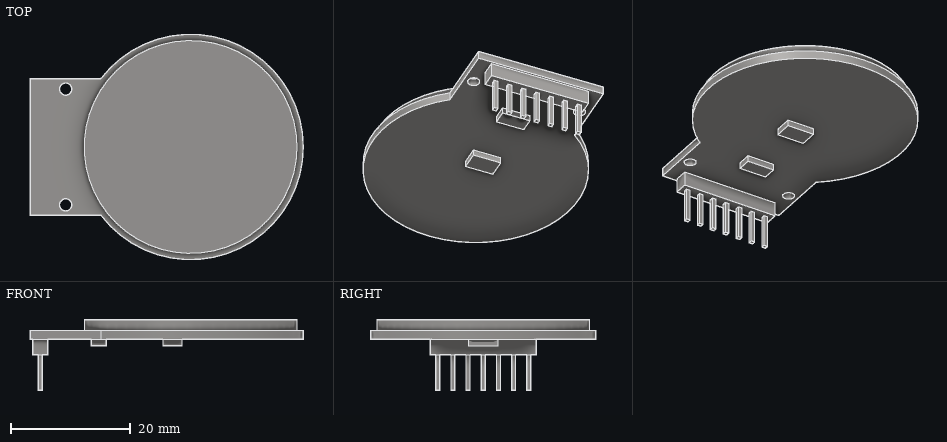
import cadquery as cq

board_thickness = 1.5
board_diameter = 37.74
board_length = 45.72
tab_width = 22.86
tab_end_x = board_diameter / 2 - board_length

display_diameter = 35.6
display_thickness = 1.8

hole_diameter = 2.0
hole_from_tab_end = 5.95
hole_spacing = 19.36

pin_count = 7
pin_pitch = 2.54
header_height = 2.6
header_center_x = tab_end_x + 1.7
pin_width = 0.7
overall_height = 11.84
pin_length = overall_height - display_thickness - board_thickness - header_height

component_height = 1.1
component_width = 5.0
components = [(10.2, 2.54), (22.2, 3.25)]


def box_below(length, width, height, center_x, center_y=0, top_z=0):
    """Box centred on the given X and Y that hangs down from top_z."""
    return (
        cq.Workplane("XY", origin=(center_x, center_y, top_z))
        .rect(length, width)
        .extrude(-height)
    )


def make_board():
    disc = cq.Workplane("XY").circle(board_diameter / 2).extrude(board_thickness)
    tab = (
        cq.Workplane("XY", origin=(tab_end_x / 2, 0, 0))
        .rect(-tab_end_x, tab_width)
        .extrude(board_thickness)
    )
    hole_x = tab_end_x + hole_from_tab_end
    holes = (
        cq.Workplane("XY")
        .pushPoints([(hole_x, -hole_spacing / 2), (hole_x, hole_spacing / 2)])
        .circle(hole_diameter / 2)
        .extrude(board_thickness)
    )
    return disc.union(tab).cut(holes)


def make_display():
    return (
        cq.Workplane("XY", origin=(0, 0, board_thickness))
        .circle(display_diameter / 2)
        .extrude(display_thickness)
    )


def make_header():
    header = box_below(pin_pitch, pin_count * pin_pitch, header_height, header_center_x)
    for index in range(pin_count):
        pin_y = (index - (pin_count - 1) / 2) * pin_pitch
        pin = box_below(pin_width, pin_width, pin_length, header_center_x, pin_y, -header_height)
        header = header.union(pin)
    return header


def make_components():
    bodies = cq.Workplane("XY")
    for near_side, length in components:
        center_x = tab_end_x + near_side + length / 2
        bodies = bodies.add(box_below(length, component_width, component_height, center_x))
    return bodies.combine()


result = make_board().union(make_display()).union(make_header()).union(make_components())